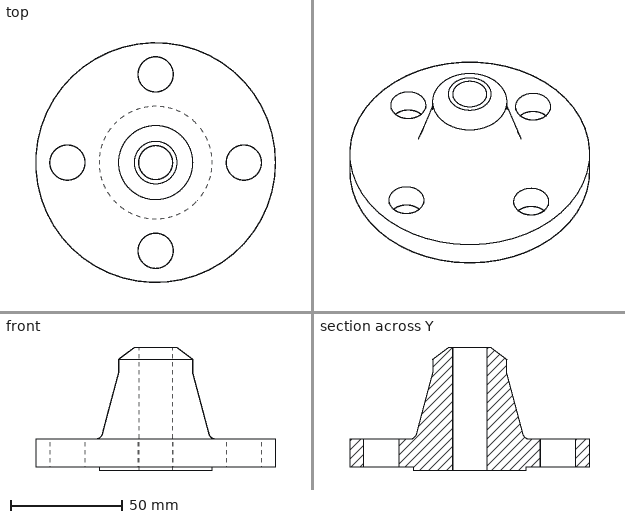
import cadquery as cq
import math

flange_diameter = 107.95
flange_thickness = 12.7
face_diameter = 50.8
face_height = 1.6

overall_height = 55.44
bore_diameter = 15.2
weld_end_diameter = 33.4
weld_end_length = 6.0
bevel_height = 5.3
land_diameter = 19.2
hub_base_diameter = 49.3
hub_fillet_radius = 3.0

bolt_hole_count = 4
bolt_hole_diameter = 15.75
bolt_circle_diameter = 79.375

flange_top = face_height + flange_thickness
bevel_start = overall_height - bevel_height
cone_top = bevel_start - weld_end_length


def make_flange():
    """Disc with the raised face underneath, standing on Z = 0."""
    raised_face = cq.Workplane("XY").circle(face_diameter / 2).extrude(face_height)
    disc = (
        cq.Workplane("XY")
        .workplane(offset=face_height)
        .circle(flange_diameter / 2)
        .extrude(flange_thickness)
    )
    return raised_face.union(disc)


def make_hub():
    """Revolved hub: root fillet, taper, cylindrical weld end and bevel."""
    base_radius = hub_base_diameter / 2
    end_radius = weld_end_diameter / 2
    cone_height = cone_top - flange_top
    taper = math.atan2(base_radius - end_radius, cone_height)

    tangent_length = hub_fillet_radius * math.tan(math.pi / 4 - taper / 2)
    fillet_center = (base_radius + tangent_length, flange_top + hub_fillet_radius)
    fillet_start = (base_radius + tangent_length, flange_top)
    fillet_end = (
        base_radius - tangent_length * math.sin(taper),
        flange_top + tangent_length * math.cos(taper),
    )
    middle_angle = (math.pi + taper + 1.5 * math.pi) / 2
    fillet_middle = (
        fillet_center[0] + hub_fillet_radius * math.cos(middle_angle),
        fillet_center[1] + hub_fillet_radius * math.sin(middle_angle),
    )

    profile = (
        cq.Workplane("XZ")
        .moveTo(0, flange_top)
        .lineTo(*fillet_start)
        .threePointArc(fillet_middle, fillet_end)
        .lineTo(end_radius, cone_top)
        .lineTo(end_radius, bevel_start)
        .lineTo(land_diameter / 2, overall_height)
        .lineTo(0, overall_height)
        .close()
    )
    return profile.revolve(360, (0, 0, 0), (0, 1, 0))


def make_bore():
    """Through bore along the hub axis."""
    return cq.Workplane("XY").circle(bore_diameter / 2).extrude(overall_height)


def make_bolt_holes():
    """Through holes evenly spaced on the bolt circle."""
    return (
        cq.Workplane("XY")
        .polarArray(bolt_circle_diameter / 2, 0, 360, bolt_hole_count)
        .circle(bolt_hole_diameter / 2)
        .extrude(flange_top)
    )


result = make_flange().union(make_hub()).cut(make_bore()).cut(make_bolt_holes())